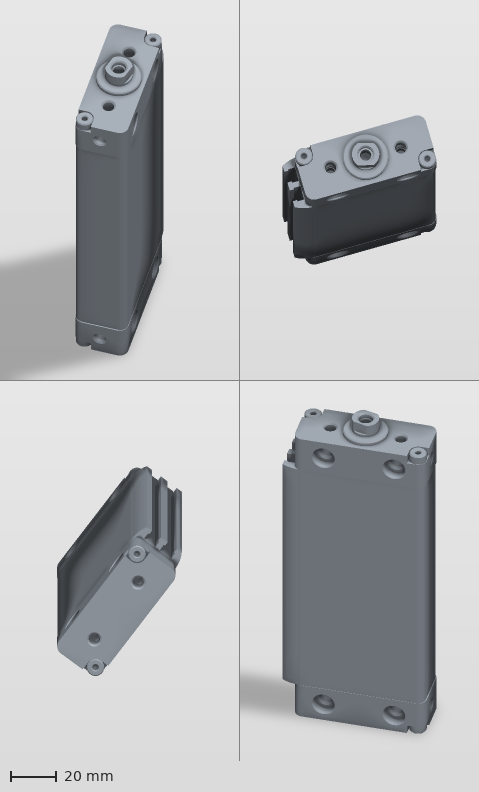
import cadquery as cq
import math

WIDTH = 24.0
OVERALL_LENGTH = 65.0
CAP_LENGTH = 59.7
CAP_HEIGHT = 17.0
CAP_CORNER_RADIUS = 4.0
CAPS_TOP = 152.0
TOTAL_HEIGHT = 160.0

BARREL_INSET = 0.5
BARREL_SIDE_INSET = 0.2
RAIL_TOP = OVERALL_LENGTH - CAP_LENGTH / 2
RAIL_HALF_WIDTH = 9.6
FLANK_START = 27.5
FLANK_STEP = 0.2
FLANK_STEP_LENGTH = 1.1
SLOT_FLOOR = 30.0
SLOT_CENTRE = 4.3
SLOT_MOUTH_WIDTH = 5.0
SLOT_WIDTH = 6.2
SLOT_LIP = 2.0

COLLAR_DIAMETER = 20.0
COLLAR_HEIGHT = 2.0
COLLAR_CHAMFER = 0.5
ROD_DIAMETER = 12.0
ROD_ACROSS_FLATS = 10.0
ROD_FLAT_HEIGHT = 4.8
ROD_FLAT_ANGLE = -15.0

THREAD_DIAMETER = 5.0
THREAD_MOUTH_DIAMETER = 6.4
CORE_DIAMETER = 4.0

ROD_MOUTH_DIAMETER = 7.7
ROD_THREAD_DIAMETER = 6.4
ROD_CORE_DIAMETER = 5.0
ROD_THREAD_DEPTH = 2.4
ROD_HOLE_DEPTH = 9.6
DRILL_POINT_ANGLE = 118.0

MOUNT_SPACING = 32.0
CROSS_HOLE_DROP = 8.5
COUNTERBORE_DIAMETER = 10.0
COUNTERBORE_DEPTH = 4.0
COUNTERBORE_CHAMFER = 0.3
END_THREAD_DEPTH = 12.0

SCREW_X = WIDTH / 2 - CAP_CORNER_RADIUS
SCREW_Y = CAP_LENGTH / 2 - CAP_CORNER_RADIUS
POCKET_DIAMETER = 8.0
POCKET_DEPTH = 4.0
HEAD_DIAMETER = 7.7
HEAD_CHAMFER = 0.5
SOCKET_DIAMETER = 3.4
SOCKET_INNER_DIAMETER = 2.5
SOCKET_DEPTH = 2.4


def drilled_hole(mouth_diameter, diameter, depth, pointed=True):
    """Cutter along -Z from the origin: 45 degree mouth chamfer, bore, and drill point."""
    chamfer = (mouth_diameter - diameter) / 2
    point = diameter / 2 / math.tan(math.radians(DRILL_POINT_ANGLE / 2)) if pointed else 0
    outline = cq.Workplane("XZ").lineTo(mouth_diameter / 2, 0)
    if chamfer > 0:
        outline = outline.lineTo(diameter / 2, -chamfer)
    outline = outline.lineTo(diameter / 2, -depth).lineTo(0, -depth - point)
    return outline.close().revolve(360, (0, 0, 0), (0, 1, 0))


def corner_pocket(x_side, y_side):
    """Recess round a screw head, open to the two outer faces of its corner."""
    x = x_side * SCREW_X
    y = y_side * SCREW_Y
    shift = POCKET_DIAMETER / 2
    pocket = cq.Workplane("XY").center(x, y).circle(shift).extrude(-POCKET_DEPTH)
    for dx, dy in ((shift, 0), (0, shift), (shift, shift)):
        centre = (x + x_side * dx, y + y_side * dy)
        opening = cq.Workplane("XY").center(*centre).rect(POCKET_DIAMETER, POCKET_DIAMETER)
        pocket = pocket.union(opening.extrude(-POCKET_DEPTH))
    return pocket


def screw_head(x, y):
    """Socket screw head standing in its pocket, flush with the cap face."""
    head = cq.Workplane("XY").workplane(offset=-POCKET_DEPTH).circle(HEAD_DIAMETER / 2).extrude(POCKET_DEPTH)
    head = head.faces(">Z").chamfer(HEAD_CHAMFER)
    head = head.cut(drilled_hole(SOCKET_DIAMETER, SOCKET_INNER_DIAMETER, SOCKET_DEPTH))
    return head.translate((x, y, 0))


def cross_hole():
    """Cutter along X through the cap, counterbored at both ends."""
    counterbore_mouth = COUNTERBORE_DIAMETER + 2 * COUNTERBORE_CHAMFER
    counterbore = drilled_hole(counterbore_mouth, COUNTERBORE_DIAMETER, COUNTERBORE_DEPTH, pointed=False)
    thread_depth = WIDTH / 2 - COUNTERBORE_DEPTH
    thread = drilled_hole(THREAD_MOUTH_DIAMETER, THREAD_DIAMETER, thread_depth, pointed=False)
    half_hole = counterbore.union(thread.translate((0, 0, -COUNTERBORE_DEPTH))).translate((0, 0, WIDTH / 2))
    hole = half_hole.rotate((0, 0, 0), (0, 1, 0), 90)
    return hole.union(half_hole.rotate((0, 0, 0), (0, 1, 0), -90))


def make_cap():
    """End cap with its outer face on Z = 0 and its body below."""
    cap = cq.Workplane("XY").rect(WIDTH, CAP_LENGTH).extrude(-CAP_HEIGHT)
    cap = cap.edges("|Z").fillet(CAP_CORNER_RADIUS)

    for side in (-1, 1):
        cap = cap.cut(corner_pocket(side, side))
        cap = cap.union(screw_head(side * SCREW_X, side * SCREW_Y))

    end_hole = drilled_hole(THREAD_MOUTH_DIAMETER, THREAD_DIAMETER, END_THREAD_DEPTH, pointed=False)
    end_hole = end_hole.union(cq.Workplane("XY").circle(CORE_DIAMETER / 2).extrude(-CAP_HEIGHT))
    for y in (-MOUNT_SPACING / 2, MOUNT_SPACING / 2):
        cap = cap.cut(end_hole.translate((0, y, 0)))
        cap = cap.cut(cross_hole().translate((0, y, -CROSS_HOLE_DROP)))

    port_depth = (CAP_LENGTH - MOUNT_SPACING) / 2
    port = drilled_hole(THREAD_MOUTH_DIAMETER, THREAD_DIAMETER, port_depth, pointed=False)
    port = port.rotate((0, 0, 0), (1, 0, 0), 90)
    return cap.cut(port.translate((0, -CAP_LENGTH / 2, -CROSS_HOLE_DROP)))


def make_front_cap():
    """Cap at the rod end, with the bearing collar and the rod bore."""
    collar = cq.Workplane("XY").circle(COLLAR_DIAMETER / 2).extrude(COLLAR_HEIGHT)
    collar = collar.faces(">Z").chamfer(COLLAR_CHAMFER)
    bore = cq.Workplane("XY").workplane(offset=-CAP_HEIGHT).circle(ROD_DIAMETER / 2)
    bore = bore.extrude(CAP_HEIGHT + COLLAR_HEIGHT)
    return make_cap().union(collar).cut(bore).translate((0, 0, CAPS_TOP))


def make_rear_cap():
    """Cap at the foot: the same cap turned over."""
    return make_cap().mirror("XY")


def make_barrel():
    """Extruded barrel with two T slots along its +Y side."""
    half_width = WIDTH / 2 - BARREL_SIDE_INSET
    bottom = BARREL_INSET - CAP_LENGTH / 2
    corner = CAP_CORNER_RADIUS - BARREL_INSET
    flank_x = half_width - FLANK_STEP
    rise = RAIL_TOP - FLANK_START
    inward = flank_x - RAIL_HALF_WIDTH
    radius = (rise**2 + inward**2) / (2 * inward)
    height = CAPS_TOP - 2 * CAP_HEIGHT

    profile = cq.Workplane("XY").workplane(offset=CAP_HEIGHT).moveTo(-half_width, bottom)
    profile = profile.lineTo(half_width, bottom).lineTo(half_width, FLANK_START - FLANK_STEP_LENGTH)
    profile = profile.lineTo(flank_x, FLANK_START)
    profile = profile.radiusArc((RAIL_HALF_WIDTH, RAIL_TOP), -radius).lineTo(-RAIL_HALF_WIDTH, RAIL_TOP)
    profile = profile.radiusArc((-flank_x, FLANK_START), -radius)
    profile = profile.lineTo(-half_width, FLANK_START - FLANK_STEP_LENGTH).close()
    barrel = profile.extrude(height).edges("|Z and <Y").fillet(corner)

    for x in (-SLOT_CENTRE, SLOT_CENTRE):
        barrel = barrel.cut(slot_part(x, SLOT_MOUTH_WIDTH, RAIL_TOP, height))
        barrel = barrel.cut(slot_part(x, SLOT_WIDTH, RAIL_TOP - SLOT_LIP, height))
    return barrel


def slot_part(x, width, top, height):
    """Full-height groove from the slot floor up to the given Y."""
    groove = cq.Workplane("XY").workplane(offset=CAP_HEIGHT).center(x, (SLOT_FLOOR + top) / 2)
    return groove.rect(width, top - SLOT_FLOOR).extrude(height)


def make_rod():
    """Piston rod end with two wrench flats and a threaded hole."""
    bottom = CAPS_TOP - CAP_HEIGHT
    rod = cq.Workplane("XY").workplane(offset=bottom).circle(ROD_DIAMETER / 2).extrude(TOTAL_HEIGHT - bottom)

    flats = cq.Workplane("XY").workplane(offset=TOTAL_HEIGHT).rect(2 * ROD_DIAMETER, 2 * ROD_DIAMETER)
    flats = flats.rect(ROD_ACROSS_FLATS, 2 * ROD_DIAMETER).extrude(-ROD_FLAT_HEIGHT)
    rod = rod.cut(flats.rotate((0, 0, 0), (0, 0, 1), ROD_FLAT_ANGLE))

    hole = drilled_hole(ROD_MOUTH_DIAMETER, ROD_THREAD_DIAMETER, ROD_THREAD_DEPTH, pointed=False)
    hole = hole.union(drilled_hole(ROD_CORE_DIAMETER, ROD_CORE_DIAMETER, ROD_HOLE_DEPTH))
    return rod.cut(hole.translate((0, 0, TOTAL_HEIGHT)))


barrel = make_barrel()
front_cap = make_front_cap()
rear_cap = make_rear_cap()
rod = make_rod()

result = cq.Compound.makeCompound([barrel.val(), front_cap.val(), rear_cap.val(), rod.val()])